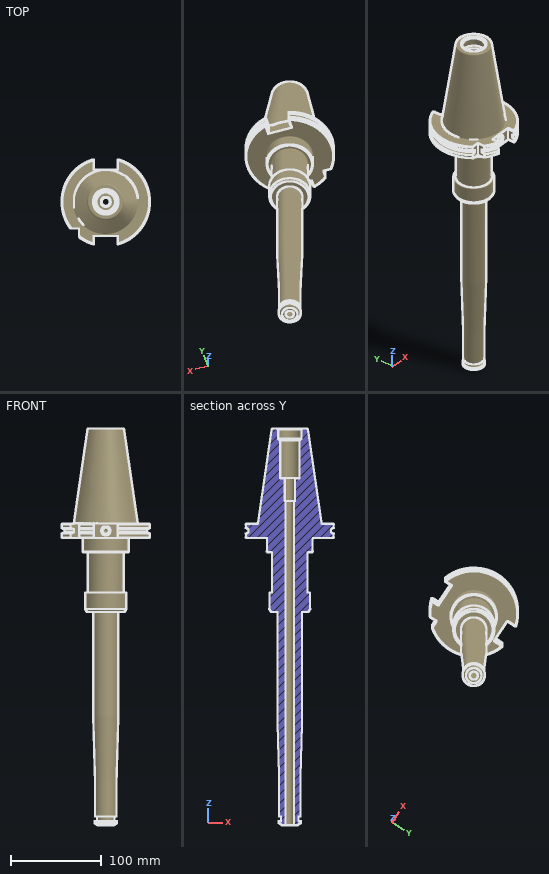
import cadquery as cq
import math

tolerance = 0.01

taper_top = 101.75
flange_top = -3.2
flange_bottom = -19.1
collar_bottom = -34.8
body_bottom = -79.0
ring_bottom = -100.5
shank_bottom = -214.7
tip_taper_bottom = -284.6
tip_bottom = -325.6
end_face = -335.35

gauge_dia = 69.85
taper_ratio = 7 / 24
taper_top_fillet = 2.0
taper_root_fillet = 0.6

flange_dia = 97.5
slot_width = 25.7
rear_slot_floor = 35.5
front_slot_floor = 37.7
notch_corner_x = -29.5
notch_corner_y = -29.5
edge_chamfer = 0.83

groove_center = -11.1
groove_root_dia = 91.25
groove_pin_dia = 7.0
groove_over_pins_dia = 107.25
groove_flank_angle = 30.0

side_hole_dia = 7.0
side_hole_sink_dia = 10.0
side_hole_depth = 8.0
drill_point_angle = 118.0

collar_dia = 51.0
collar_root_fillet = 1.0
collar_chamfer = 1.0
body_dia = 40.0
body_root_fillet = 1.0
ring_dia = 45.5
ring_top_fillet = 1.0
ring_bevel_height = 3.2
ring_bevel_inset = 2.0
shank_dia = 28.0
tip_dia = 24.0

neck_dia = 19.5
neck_length = 5.0
neck_fillet = 0.6
rim_dia = 24.7
rim_width = 2.3
end_dia = 17.0

mouth_dia = 28.0
counterbore_dia = 25.0
counterbore_depth = 11.5
thread_dia = 20.75
thread_depth = 55.0
coolant_dia = 11.0
coolant_depth = 80.0
through_dia = 9.0


def taper_radius(z):
    """Radius of the taper cone at height z."""
    return (gauge_dia - taper_ratio * z) / 2


def revolve_profile(points):
    """Revolve a closed outline of (radius, z) points about the Z axis."""
    outline = cq.Workplane("XZ").polyline(points).close()
    return outline.revolve(360, (0, 0, 0), (0, 1, 0))


def fillet_ring(part, diameter, z, fillet_radius):
    """Fillet the circular edge of the given diameter at height z."""
    outer_reach = diameter / 2 + tolerance
    inner_reach = diameter / 2 - tolerance
    low = z - tolerance
    high = z + tolerance
    within = cq.selectors.BoxSelector(
        (-outer_reach, -outer_reach, low), (outer_reach, outer_reach, high), boundingbox=True
    )
    smaller = cq.selectors.BoxSelector(
        (-inner_reach, -inner_reach, low), (inner_reach, inner_reach, high), boundingbox=True
    )
    return part.edges(within - smaller).fillet(fillet_radius)


def make_taper():
    """Taper cone, rounded at the top and flared where it meets the flange."""
    flare_start = flange_top + taper_root_fillet
    flare_inset = taper_root_fillet * (1 - math.sqrt(0.5))
    flare_radius = taper_radius(flare_start)
    outline = (
        cq.Workplane("XZ")
        .moveTo(0, taper_top)
        .lineTo(taper_radius(taper_top), taper_top)
        .lineTo(flare_radius, flare_start)
        .threePointArc(
            (flare_radius + flare_inset, flange_top + flare_inset),
            (flare_radius + taper_root_fillet, flange_top),
        )
        .lineTo(0, flange_top)
        .close()
    )
    taper = outline.revolve(360, (0, 0, 0), (0, 1, 0))
    return taper.faces(">Z").edges().fillet(taper_top_fillet)


def make_shaft():
    """Everything below the flange: collar, body, clamping ring, shank and tip."""
    rim_top = tip_bottom - neck_length
    shaft = revolve_profile([
        (0, flange_bottom),
        (collar_dia / 2, flange_bottom),
        (collar_dia / 2, collar_bottom + collar_chamfer),
        (collar_dia / 2 - collar_chamfer, collar_bottom),
        (body_dia / 2, collar_bottom),
        (body_dia / 2, body_bottom),
        (ring_dia / 2, body_bottom),
        (ring_dia / 2, ring_bottom + ring_bevel_height),
        (ring_dia / 2 - ring_bevel_inset, ring_bottom),
        (shank_dia / 2, ring_bottom),
        (shank_dia / 2, shank_bottom),
        (tip_dia / 2, tip_taper_bottom),
        (tip_dia / 2, tip_bottom),
        (neck_dia / 2, tip_bottom),
        (neck_dia / 2, rim_top),
        (rim_dia / 2, rim_top),
        (rim_dia / 2, rim_top - rim_width),
        (end_dia / 2, end_face),
        (0, end_face),
    ])
    shaft = fillet_ring(shaft, body_dia, collar_bottom, body_root_fillet)
    shaft = fillet_ring(shaft, ring_dia, body_bottom, ring_top_fillet)
    shaft = fillet_ring(shaft, neck_dia, tip_bottom, neck_fillet)
    return fillet_ring(shaft, neck_dia, rim_top, neck_fillet)


def make_flange_cut(x_min, x_max, y_min, y_max):
    """Box through the full thickness of the flange."""
    return cq.Workplane("XY").box(
        x_max - x_min, y_max - y_min, flange_top - flange_bottom, centered=False
    ).translate((x_min, y_min, flange_bottom))


def make_gripper_groove():
    flank = math.radians(groove_flank_angle)
    pin_center_radius = (groove_over_pins_dia - groove_pin_dia) / 2
    apex_radius = pin_center_radius - groove_pin_dia / 2 / math.sin(flank)
    root_half = (groove_root_dia / 2 - apex_radius) * math.tan(flank)
    mouth_half = (flange_dia / 2 - apex_radius) * math.tan(flank)
    return revolve_profile([
        (groove_root_dia / 2, groove_center + root_half),
        (flange_dia / 2, groove_center + mouth_half),
        (flange_dia / 2, groove_center - mouth_half),
        (groove_root_dia / 2, groove_center - root_half),
    ])


def make_flange():
    rim = flange_dia / 2
    half_slot = slot_width / 2
    flange = cq.Workplane("XY", origin=(0, 0, flange_bottom)).circle(rim).extrude(flange_top - flange_bottom)
    flange = flange.cut(make_flange_cut(-half_slot, half_slot, rear_slot_floor, rim))
    flange = flange.cut(make_flange_cut(-half_slot, half_slot, -rim, -front_slot_floor))
    floor_corners = cq.selectors.BoxSelector(
        (-rim, -front_slot_floor - tolerance, flange_bottom),
        (rim, rear_slot_floor + tolerance, flange_top),
    )
    slot_corners = flange.edges(cq.selectors.StringSyntaxSelector("|Z") - floor_corners)
    face_edges = flange.faces(">Z or <Z").edges("not |X")
    flange = face_edges.add(slot_corners).chamfer(edge_chamfer)

    flange = flange.cut(make_flange_cut(-rim, notch_corner_x, -rim, notch_corner_y))
    notch_corner = (notch_corner_x, -math.sqrt(rim**2 - notch_corner_x**2), groove_center)
    flange = flange.edges("|Z").edges(cq.selectors.NearestToPointSelector(notch_corner)).chamfer(edge_chamfer)
    return flange.cut(make_gripper_groove())


def make_side_hole():
    """Countersunk blind hole with a drill point, in the floor of the front drive slot."""
    radius = side_hole_dia / 2
    sink_radius = side_hole_sink_dia / 2
    point = radius / math.tan(math.radians(drill_point_angle / 2))
    hole = revolve_profile([
        (0, 0),
        (sink_radius, 0),
        (radius, radius - sink_radius),
        (radius, -side_hole_depth),
        (0, -side_hole_depth - point),
    ])
    return hole.rotate((0, 0, 0), (1, 0, 0), 90).translate((0, -front_slot_floor, groove_center))


def make_bore():
    mouth_bevel = (mouth_dia - counterbore_dia) / 2
    seat = (counterbore_dia - thread_dia) / 2
    return revolve_profile([
        (0, taper_top),
        (mouth_dia / 2, taper_top),
        (counterbore_dia / 2, taper_top - mouth_bevel),
        (counterbore_dia / 2, taper_top - counterbore_depth),
        (thread_dia / 2, taper_top - counterbore_depth - seat),
        (thread_dia / 2, taper_top - thread_depth),
        (coolant_dia / 2, taper_top - thread_depth),
        (coolant_dia / 2, taper_top - coolant_depth),
        (through_dia / 2, taper_top - coolant_depth),
        (through_dia / 2, end_face),
        (0, end_face),
    ])


result = make_flange().union(make_taper()).union(make_shaft())
result = fillet_ring(result, collar_dia, flange_bottom, collar_root_fillet)
result = result.cut(make_side_hole()).cut(make_bore())